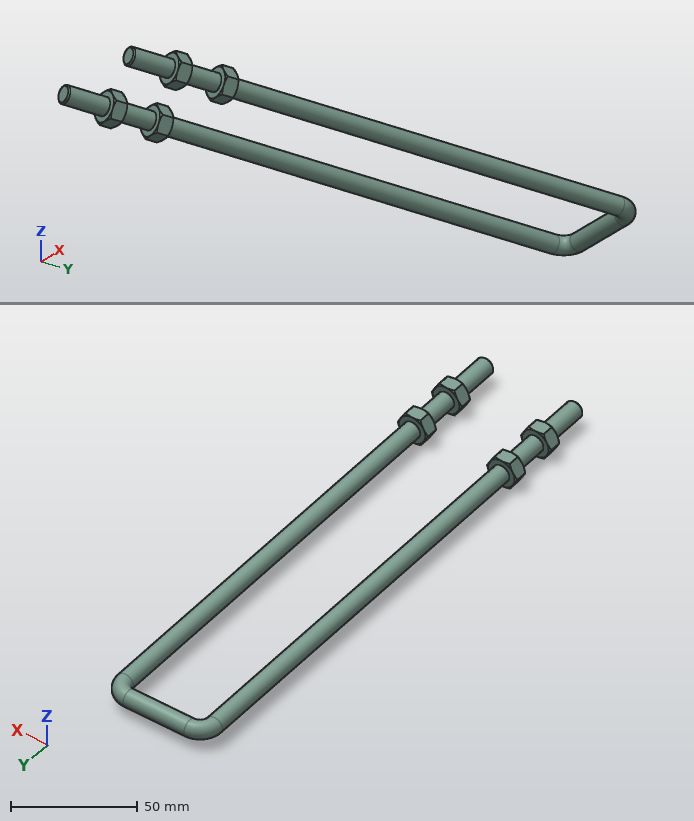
import cadquery as cq
import math

LENGTH = 250.0
LEG_SPACING = 44.0

ROD_DIAMETER = 8.0
ROD_RADIUS = ROD_DIAMETER / 2
BEND_RADIUS = 7.0
END_DIAMETER = 6.8
END_CHAMFER = (ROD_DIAMETER - END_DIAMETER) / 2

HEXAGON_SIDES = 6
NUTS_PER_LEG = 2
NUT_ACROSS_FLATS = 13.0
NUT_ACROSS_CORNERS = NUT_ACROSS_FLATS / math.cos(math.pi / HEXAGON_SIDES)
NUT_THICKNESS = 6.5
NUT_CHAMFER_ANGLE = 30
OUTER_NUT_OFFSET = 20.0
NUT_PITCH = 22.5

LEG_X = LEG_SPACING / 2
FREE_END_Y = -LENGTH / 2
CROSSBAR_Y = LENGTH / 2 - ROD_RADIUS


def make_u_bolt():
    """Round rod bent into a U, with both free ends chamfered."""
    bend_y = CROSSBAR_Y - BEND_RADIUS
    bend_x = LEG_X - BEND_RADIUS
    bend_offset = BEND_RADIUS / math.sqrt(2)
    centreline = (
        cq.Workplane("XY")
        .moveTo(-LEG_X, FREE_END_Y)
        .lineTo(-LEG_X, bend_y)
        .threePointArc((-bend_x - bend_offset, bend_y + bend_offset), (-bend_x, CROSSBAR_Y))
        .lineTo(bend_x, CROSSBAR_Y)
        .threePointArc((bend_x + bend_offset, bend_y + bend_offset), (LEG_X, bend_y))
        .lineTo(LEG_X, FREE_END_Y)
    )
    rod = (
        cq.Workplane("XZ", origin=(-LEG_X, FREE_END_Y, 0))
        .circle(ROD_RADIUS)
        .sweep(centreline)
    )
    return rod.faces("<Y").edges().chamfer(END_CHAMFER)


def make_nut(x, near_face_y):
    """Hexagon nut around a leg, corners along X, its corners bevelled at both end faces."""
    flat_radius = NUT_ACROSS_FLATS / 2
    corner_radius = NUT_ACROSS_CORNERS / 2
    bevel = (corner_radius - flat_radius) * math.tan(math.radians(NUT_CHAMFER_ANGLE))
    blank = (
        cq.Workplane("XY")
        .polyline([
            (0, 0),
            (flat_radius, 0),
            (corner_radius, bevel),
            (corner_radius, NUT_THICKNESS - bevel),
            (flat_radius, NUT_THICKNESS),
            (0, NUT_THICKNESS),
        ])
        .close()
        .revolve(360, (0, 0), (0, 1))
    )
    hexagon = cq.Workplane("XZ").polygon(HEXAGON_SIDES, NUT_ACROSS_CORNERS).extrude(-NUT_THICKNESS)
    bore = cq.Workplane("XZ").circle(ROD_RADIUS).extrude(-NUT_THICKNESS)
    return hexagon.intersect(blank).cut(bore).translate((x, near_face_y, 0))


u_bolt = make_u_bolt()

nuts = []
for leg_x in (-LEG_X, LEG_X):
    for position in range(NUTS_PER_LEG):
        nut_y = FREE_END_Y + OUTER_NUT_OFFSET + position * NUT_PITCH
        nuts.append(make_nut(leg_x, nut_y).val())

result = cq.Compound.makeCompound([u_bolt.val(), *nuts])